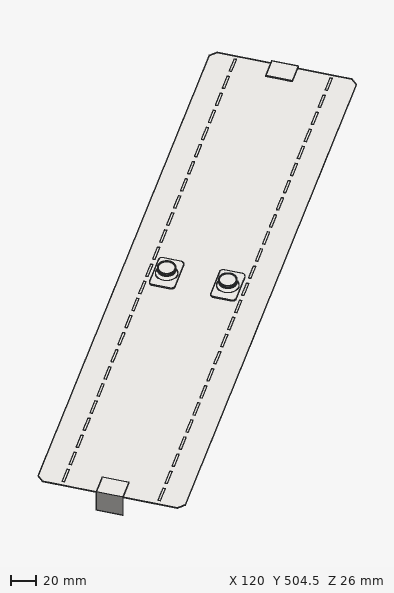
import cadquery as cq

OVERALL_LENGTH = 504.5

BRACKET_WIDTH = 21.5
BRACKET_LEG = 17.0
BRACKET_HEIGHT = 20.0
BRACKET_THICKNESS = 1.25

SHEET_WIDTH = 120.0
SHEET_LENGTH = OVERALL_LENGTH - 2 * BRACKET_THICKNESS
SHEET_THICKNESS = 0.75
CORNER_CHAMFER = 5.0

DASH_COUNT = 25
DASH_LENGTH = 14.0
DASH_WIDTH = 1.9
DASH_HEIGHT = 0.25
DASH_ROW_LENGTH = 494.5
DASH_ROW_SPACING = 78.0
DASH_PITCH = (DASH_ROW_LENGTH - DASH_LENGTH) / (DASH_COUNT - 1)

FITTING_SPACING = 50.0
PAD_WIDTH = 20.5
PAD_LENGTH = 31.5
PAD_THICKNESS = 1.25
PAD_CORNER_RADIUS = 3.0
PAD_HOLE_DIAMETER = 17.5

BUTTON_CLEARANCE = 3.0
BUTTON_HEIGHT = 3.0
FLANGE_DIAMETER = 14.5
FLANGE_THICKNESS = 0.5
WAIST_DIAMETER = 13.0


def make_sheet():
    sheet = (
        cq.Workplane("XY")
        .box(SHEET_WIDTH, SHEET_LENGTH, SHEET_THICKNESS, centered=(True, True, False))
        .edges("|Z")
        .chamfer(CORNER_CHAMFER)
    )
    dashes = (
        cq.Workplane("XY", origin=(0, 0, SHEET_THICKNESS))
        .rarray(DASH_ROW_SPACING, DASH_PITCH, 2, DASH_COUNT)
        .rect(DASH_WIDTH, DASH_LENGTH)
        .extrude(DASH_HEIGHT)
    )
    return sheet.union(dashes)


def make_bracket(end):
    """L-shaped bracket at the -Y end (end = -1) or the +Y end (end = 1)."""
    outer_y = end * OVERALL_LENGTH / 2
    inner_y = end * SHEET_LENGTH / 2
    leg_tip_y = end * (OVERALL_LENGTH / 2 - BRACKET_LEG)
    top_z = SHEET_THICKNESS + BRACKET_THICKNESS
    bottom_z = top_z - BRACKET_HEIGHT
    return (
        cq.Workplane("YZ", origin=(-BRACKET_WIDTH / 2, 0, 0))
        .moveTo(leg_tip_y, SHEET_THICKNESS)
        .lineTo(leg_tip_y, top_z)
        .lineTo(outer_y, top_z)
        .lineTo(outer_y, bottom_z)
        .lineTo(inner_y, bottom_z)
        .lineTo(inner_y, SHEET_THICKNESS)
        .close()
        .extrude(BRACKET_WIDTH)
    )


def make_pad(x):
    return (
        cq.Workplane("XY", origin=(x, 0, SHEET_THICKNESS))
        .rect(PAD_WIDTH, PAD_LENGTH)
        .extrude(PAD_THICKNESS)
        .edges("|Z")
        .fillet(PAD_CORNER_RADIUS)
        .faces(">Z")
        .workplane()
        .hole(PAD_HOLE_DIAMETER)
    )


def make_button(x):
    bottom_z = SHEET_THICKNESS + PAD_THICKNESS + BUTTON_CLEARANCE
    return (
        cq.Workplane("XY", origin=(x, 0, bottom_z))
        .circle(FLANGE_DIAMETER / 2)
        .extrude(FLANGE_THICKNESS)
        .faces(">Z")
        .workplane()
        .circle(WAIST_DIAMETER / 2)
        .extrude(BUTTON_HEIGHT - 2 * FLANGE_THICKNESS)
        .faces(">Z")
        .workplane()
        .circle(FLANGE_DIAMETER / 2)
        .extrude(FLANGE_THICKNESS)
    )


sheet = make_sheet()
bodies = [sheet.val()]
for side in (-1, 1):
    fitting_x = side * FITTING_SPACING / 2
    bodies.append(make_bracket(side).val())
    bodies.append(make_pad(fitting_x).val())
    bodies.append(make_button(fitting_x).val())

result = cq.Compound.makeCompound(bodies)